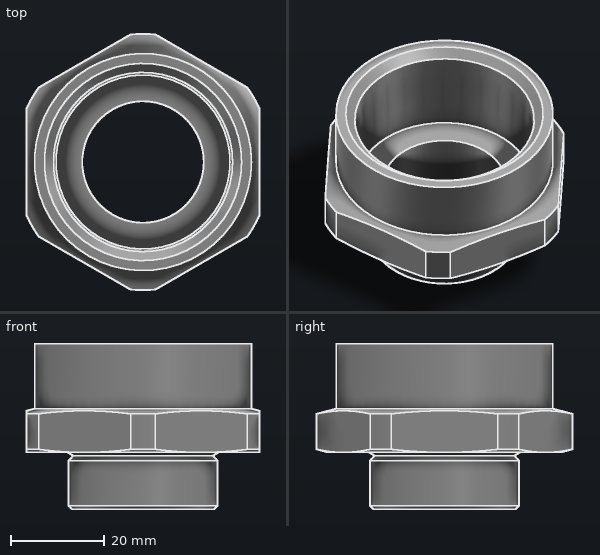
import cadquery as cq
import math

total_height = 35.5
hex_bottom = 12.2
hex_top = 21.6
bore_floor = 15.7

across_flats = 50
corner_diameter = 54.95
bevel_slope = math.tan(math.radians(15))

socket_diameter = 46.5
socket_rim_diameter = 42.25
bore_mouth_diameter = 38.4
rim_chamfer_height = 1.7
bore_taper = 1 / 16

spigot_diameter = 32.0
groove_diameter = 29.95
spigot_chamfer = 0.75
groove_height = 11.5
groove_flare_slope = math.tan(math.radians(30))
through_diameter = 26.0


def revolve_profile(points):
    """Turn a closed (radius, height) outline about the Z axis."""
    return cq.Workplane("XZ").polyline(points).close().revolve(360, (0, 0, 0), (0, 1, 0))


def hex_collar():
    """Hexagon with flats facing +X and -X, its corners turned and bevelled."""
    corner_radius = corner_diameter / 2
    lower_radius = across_flats / 2
    upper_radius = socket_diameter / 2
    lower_bevel = (corner_radius - lower_radius) * bevel_slope
    upper_bevel = (corner_radius - upper_radius) * bevel_slope
    prism = (
        cq.Workplane("XY", origin=(0, 0, hex_bottom))
        .polygon(6, across_flats / math.cos(math.radians(30)))
        .extrude(hex_top - hex_bottom)
        .rotate((0, 0, 0), (0, 0, 1), 30)
    )
    turned_envelope = revolve_profile([
        (0, hex_bottom),
        (lower_radius, hex_bottom),
        (corner_radius, hex_bottom + lower_bevel),
        (corner_radius, hex_top - upper_bevel),
        (upper_radius, hex_top),
        (0, hex_top),
    ])
    return prism.intersect(turned_envelope)


def socket():
    """Plain cylinder rising from the hexagon."""
    return (
        cq.Workplane("XY", origin=(0, 0, hex_top))
        .circle(socket_diameter / 2)
        .extrude(total_height - hex_top)
    )


def spigot():
    """Chamfered spigot with a V-shaped groove below the hexagon."""
    radius = spigot_diameter / 2
    groove_radius = groove_diameter / 2
    groove_depth = radius - groove_radius
    flare_width = (hex_bottom - groove_height) / groove_flare_slope
    return revolve_profile([
        (0, 0),
        (radius - spigot_chamfer, 0),
        (radius, spigot_chamfer),
        (radius, groove_height - groove_depth),
        (groove_radius, groove_height),
        (groove_radius + flare_width, hex_bottom),
        (0, hex_bottom),
    ])


def stepped_bore():
    """Through hole opening into a tapered bore with a chamfered mouth."""
    mouth_height = total_height - rim_chamfer_height
    floor_diameter = bore_mouth_diameter - bore_taper * (mouth_height - bore_floor)
    return revolve_profile([
        (0, 0),
        (through_diameter / 2, 0),
        (through_diameter / 2, bore_floor),
        (floor_diameter / 2, bore_floor),
        (bore_mouth_diameter / 2, mouth_height),
        (socket_rim_diameter / 2, total_height),
        (0, total_height),
    ])


result = hex_collar().union(socket()).union(spigot()).cut(stepped_bore())